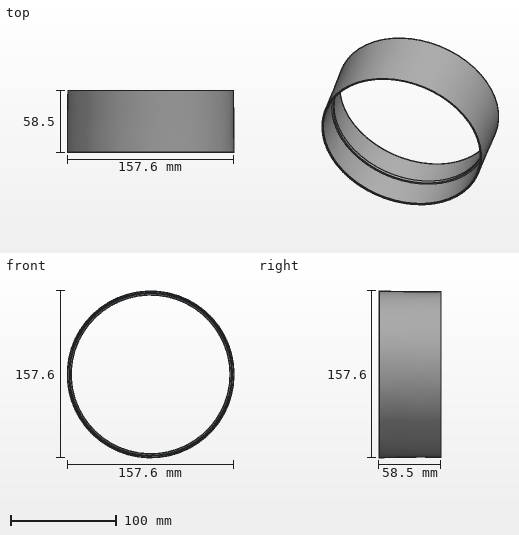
import cadquery as cq

length = 58.5
front_outer_radius = 78.8
back_outer_radius = 78.4

socket_radius = 76.5
mouth_radius = 77.0
lead_in_depth = 7.1
rim_chamfer = 0.5

stop_radius = 74.9
stop_width = 2.8

front = -length / 2
back = length / 2


def socket_profile(side):
    """Bore points (radius, Y) from the rim to the stop; side is -1 for front, +1 for back."""
    radius_and_depth = [
        (mouth_radius + rim_chamfer, 0),
        (mouth_radius, rim_chamfer),
        (socket_radius, lead_in_depth),
        (socket_radius, (length - stop_width) / 2),
        (stop_radius, (length - stop_width) / 2),
    ]
    return [(radius, side * (length / 2 - depth)) for radius, depth in radius_and_depth]


section = [(front_outer_radius, front), (back_outer_radius, back)]
section += socket_profile(1)
section += reversed(socket_profile(-1))

result = cq.Workplane("XY").polyline(section).close().revolve(360, (0, 0, 0), (0, 1, 0))